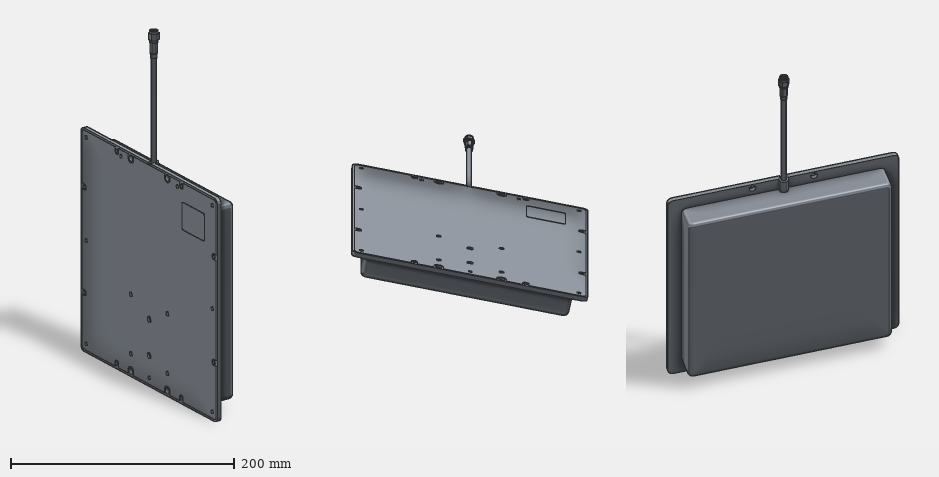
import cadquery as cq
import math

flange_side = 216.0
flange_thickness = 4.0
flange_corner_radius = 5.0
cover_depth = 27.8
dome_side = 190.5
dome_radius = 5.0
dome_edge_radius = 4.8

rim_width = 2.0
plate_side = flange_side - 2 * rim_width
plate_thickness = 2.0
plate_corner_radius = flange_corner_radius - rim_width

mount_offset = 28.8
mount_edge_offset = 102.8
mount_hole_diameter = 6.0
mount_tab_width = 9.0
screw_offset = 51.0
screw_edge_offset = 102.5
screw_hole_diameter = 3.8
screw_tab_width = 5.8

rivet_offset = 99.7
rivet_inner_offset = 44.5
rivet_diameter = 3.5
bracket_offset = 28.8
bracket_height = -57.2
bracket_hole_diameter = 4.0
centre_hole_heights = (-43.2, -78.0)
centre_hole_diameter = 5.5

label_width = 35.5
label_height = 26.7
label_thickness = 0.5
label_corner_radius = 2.0
label_x = 69.5
label_z = 74.0

cable_depth = 5.0
cable_diameter = 4.8
boss_diameter = 9.0

overall_height = 342.5
connector_top = overall_height - flange_side / 2
collar_diameter = 8.0
nose_length = 2.5
nut_length = 6.0
nut_flats = 8.5
neck_length = 2.5
bore_diameter = 5.8
pin_diameter = 1.5
body_length = 11.0
body_flats = 6.0
sleeve_length = 4.0
sleeve_diameter = 6.0

flange_top = flange_side / 2
dome_top = dome_side / 2
tab_reach = flange_side / 2 - rim_width / 2
connector_length = nose_length + nut_length + neck_length + body_length + sleeve_length
connector_bottom = connector_top - connector_length
cable_socket_depth = sleeve_length


def back_plane():
    """Plane at Y = 0 with local X along X and local Y along Z; negative extrusion runs toward +Y."""
    return cq.Workplane(cq.Plane(origin=(0, 0, 0), xDir=(1, 0, 0), normal=(0, -1, 0)))


def slab(width, height, corner_radius, thickness):
    """Rounded rectangular block centred on the Y axis, with its back face at Y = 0."""
    return (
        back_plane()
        .rect(width, height)
        .extrude(-thickness)
        .edges("|Y")
        .fillet(corner_radius)
    )


def drills(points, diameter, depth):
    return back_plane().pushPoints(points).circle(diameter / 2).extrude(-depth)


def level(height):
    """Horizontal plane at Z = height, centred on the cable."""
    return cq.Workplane("XY", origin=(0, cable_depth, height))


def arch(x, reach, width):
    """Tab at the top edge: straight sides from the rim, rounded end about (x, reach)."""
    radius = width / 2
    return (
        back_plane()
        .moveTo(x - radius, tab_reach)
        .lineTo(x - radius, reach)
        .threePointArc((x, reach - radius), (x + radius, reach))
        .lineTo(x + radius, tab_reach)
        .close()
        .extrude(-plate_thickness)
    )


def turned(shape, angle):
    return shape.rotate((0, 0, 0), (0, 1, 0), angle)


def mirrored(x, z):
    """The four points mirrored about both centre lines of the panel."""
    return [(sign_x * x, sign_z * z) for sign_x in (-1, 1) for sign_z in (-1, 1)]


mount_points = mirrored(mount_offset, mount_edge_offset)
screw_points = mirrored(screw_offset, screw_edge_offset) + mirrored(screw_edge_offset, screw_offset)


def make_tabs():
    tabs = []
    for sign in (-1, 1):
        for angle in (0, 180):
            tabs.append(turned(arch(sign * mount_offset, mount_edge_offset, mount_tab_width), angle))
        for angle in (0, 90, 180, 270):
            tabs.append(turned(arch(sign * screw_offset, screw_edge_offset, screw_tab_width), angle))
    return tabs


def plate_blank():
    """Plate without its holes; it also forms the recess in the cover."""
    blank = slab(plate_side, plate_side, plate_corner_radius, plate_thickness)
    for tab in make_tabs():
        blank = blank.cut(tab)
    return blank


def make_cover():
    flange = slab(flange_side, flange_side, flange_corner_radius, flange_thickness)
    dome = slab(dome_side, dome_side, dome_radius, cover_depth)
    dome = dome.faces(">Y").edges().fillet(dome_edge_radius)
    boss = level(0).circle(boss_diameter / 2).extrude(flange_top)
    cable_hole = level(dome_top).circle(cable_diameter / 2).extrude(flange_top - dome_top)
    cable_slot = (
        cq.Workplane("XY", origin=(0, 0, dome_top))
        .rect(cable_diameter, 2 * cable_depth)
        .extrude(flange_top - dome_top)
    )
    return (
        flange.union(dome)
        .union(boss)
        .cut(plate_blank())
        .cut(cable_hole)
        .cut(cable_slot)
        .cut(drills(mount_points, mount_hole_diameter, flange_thickness))
        .cut(drills(screw_points, screw_hole_diameter, plate_thickness))
    )


def label_blank():
    blank = slab(label_width, label_height, label_corner_radius, label_thickness)
    return blank.translate((label_x, 0, label_z))


def make_plate():
    rivets = mirrored(rivet_offset, rivet_offset)
    rivets += [(-rivet_offset, 0), (rivet_offset, 0), (0, -rivet_offset)]
    rivets += [(-rivet_inner_offset, rivet_offset), (rivet_inner_offset, rivet_offset)]
    brackets = [(x, bracket_height + z) for x, z in mirrored(bracket_offset, bracket_offset)]
    centres = [(0, z) for z in centre_hole_heights]
    return (
        plate_blank()
        .cut(drills(rivets, rivet_diameter, plate_thickness))
        .cut(drills(brackets, bracket_hole_diameter, plate_thickness))
        .cut(drills(centres, centre_hole_diameter, plate_thickness))
        .cut(label_blank())
    )


def make_cable():
    cable_top = connector_bottom + cable_socket_depth
    return level(dome_top).circle(cable_diameter / 2).extrude(cable_top - dome_top)


def hexagon(bottom, flats, length):
    """Hexagonal prism with two corners on the X axis."""
    return level(bottom).polygon(6, flats / math.cos(math.pi / 6)).extrude(length)


def make_connector():
    body_bottom = connector_bottom + sleeve_length
    neck_bottom = body_bottom + body_length
    nut_bottom = neck_bottom + neck_length
    sleeve = level(connector_bottom).circle(sleeve_diameter / 2).extrude(sleeve_length)
    body = hexagon(body_bottom, body_flats, body_length)
    collar = level(neck_bottom).circle(collar_diameter / 2).extrude(connector_top - neck_bottom)
    nut = hexagon(nut_bottom, nut_flats, nut_length)
    socket = level(connector_bottom).circle(cable_diameter / 2).extrude(cable_socket_depth)
    bore = (
        level(nut_bottom)
        .circle(bore_diameter / 2)
        .circle(pin_diameter / 2)
        .extrude(connector_top - nut_bottom)
    )
    return sleeve.union(body).union(collar).union(nut).cut(socket).cut(bore)


cover = make_cover()
plate = make_plate()
label = label_blank()
cable = make_cable()
connector = make_connector()

result = cq.Compound.makeCompound([cover.val(), plate.val(), label.val(), cable.val(), connector.val()])